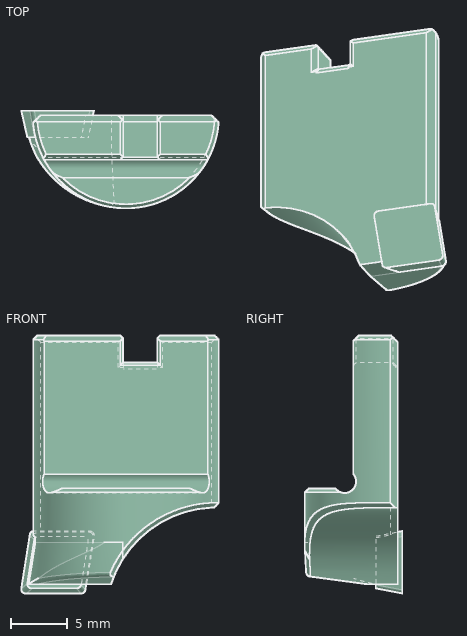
import cadquery as cq
import math


height = 22.8
shank_radius = 8.23
back_corner_chamfer = 0.68
top_back_chamfer = 0.6
top_front_chamfer = 0.5
top_side_chamfer = 0.39

tang_thickness = 3.95
shelf_z = 9.3
shelf_chamfer = 0.36
groove_radius = 1.0
groove_y = -4.7
groove_z = 9.9

notch_width = 3.0
notch_depth = 2.37
notch_x = 1.25
notch_chamfer = 0.25
notch_back_chamfer = 0.45

clearance_radius = 9.75
clearance_x = 7.98
clearance_z = -2.17
clearance_edge_chamfer = 0.43

head_top_z = 4.51
head_bottom_z = 0.82
head_right_x = -0.3
side_relief_angle = 9
head_front_y = -8.2
relief_radius = 9.12
bottom_flat_y = -2.74
bottom_relief_angle = 7.7
head_edge_fillet = 0.4

insert_left_x = -9.33
insert_width = 5.7
insert_height = 5.55
insert_back_y = 0.4
insert_thickness = 2.37
insert_clearance_angle = 11
insert_corner_fillet = 0.4
insert_front_y = insert_back_y - insert_thickness

margin = 2.28
pick_gap = 0.23
reach = shank_radius + margin


def box(x_range, y_range, z_range):
    """Axis-aligned block between the given limits."""
    (x0, x1), (y0, y1), (z0, z1) = x_range, y_range, z_range
    return cq.Workplane("XY").box(x1 - x0, y1 - y0, z1 - z0, centered=False).translate((x0, y0, z0))


def make_shank_blank():
    """Half-round bar with chamfered back corners and a chamfered top end."""
    half_disc = (
        cq.Workplane("XY").workplane(offset=clearance_z)
        .moveTo(-shank_radius, 0)
        .threePointArc((0, -shank_radius), (shank_radius, 0))
        .close()
        .extrude(height - clearance_z)
    )
    tang_space = box((-reach, reach), (-reach, -tang_thickness), (shelf_z, height + margin))
    blank = half_disc.cut(tang_space)
    shelf_bevel = (
        cq.Workplane("XZ")
        .moveTo(shank_radius - shelf_chamfer, shelf_z)
        .lineTo(shank_radius, shelf_z)
        .lineTo(shank_radius, shelf_z - shelf_chamfer)
        .close()
        .revolve(360, (0, 0, 0), (0, 1, 0))
        .intersect(box((-reach, reach), (-reach, groove_y), (0, height)))
    )
    blank = blank.cut(shelf_bevel)
    side_space = cq.Workplane("XY").workplane(offset=clearance_z)
    for side in (-1, 1):
        corner = (
            side_space.moveTo(side * (shank_radius - back_corner_chamfer), 0)
            .lineTo(side * (shank_radius + margin), -back_corner_chamfer - margin)
            .lineTo(side * (shank_radius + margin), 0)
            .close()
            .extrude(height - clearance_z)
        )
        blank = blank.cut(corner)
    return blank


def chamfer_tang_top(body):
    """Bevels of different widths on the back, front and round sides of the top end."""
    for face_y, outward, size in ((0, 1, top_back_chamfer), (-tang_thickness, -1, top_front_chamfer)):
        bevel = (
            cq.Workplane("YZ").workplane(offset=-reach)
            .moveTo(face_y - outward * size, height)
            .lineTo(face_y, height)
            .lineTo(face_y, height - size)
            .close()
            .extrude(2 * reach)
        )
        body = body.cut(bevel)
    side_envelope = (
        cq.Workplane("XZ")
        .moveTo(0, clearance_z)
        .lineTo(shank_radius, clearance_z)
        .lineTo(shank_radius, height - top_side_chamfer)
        .lineTo(0, height - top_side_chamfer + shank_radius)
        .close()
        .revolve(360, (0, 0, 0), (0, 1, 0))
    )
    return body.intersect(side_envelope)


def cut_groove(body):
    """Round relief groove along X at the root of the tang."""
    groove = (
        cq.Workplane("YZ").workplane(offset=-reach)
        .center(groove_y, groove_z).circle(groove_radius).extrude(2 * reach)
    )
    return body.cut(groove)


def cut_notch(body):
    """Rectangular notch with bevelled rims on the front and back of the tang and on its top."""
    half = notch_width / 2
    floor_z = height - notch_depth
    body = body.cut(
        box((notch_x - half, notch_x + half), (-tang_thickness, 0), (floor_z, height))
    )
    rims = ((0, -1, notch_back_chamfer), (-tang_thickness, 1, notch_chamfer))
    for face_y, inward, size in rims:
        rim = (
            cq.Workplane("XZ", origin=(notch_x, face_y, height))
            .rect(notch_width + 2 * size, 2 * (notch_depth + size))
            .workplane(offset=-inward * size)
            .rect(notch_width, 2 * notch_depth)
            .loft(ruled=True)
        )
        body = body.cut(rim)
    back_floor_bevel = (
        cq.Workplane("YZ").workplane(offset=notch_x - half)
        .moveTo(-top_back_chamfer, floor_z)
        .lineTo(0, floor_z)
        .lineTo(0, floor_z - top_back_chamfer)
        .close()
        .extrude(notch_width)
    )
    body = body.cut(back_floor_bevel)
    top_rim = (
        cq.Workplane("XZ")
        .moveTo(notch_x - half - notch_chamfer, height)
        .lineTo(notch_x - half, height - notch_chamfer)
        .lineTo(notch_x + half, height - notch_chamfer)
        .lineTo(notch_x + half + notch_chamfer, height)
        .close()
        .extrude(tang_thickness)
    )
    return body.cut(top_rim)


def make_head():
    """Cutting head: a leaning round flank, trimmed by a relief cylinder and a rising bottom face."""
    lean_height = head_top_z
    lean_shift = lean_height * math.tan(math.radians(side_relief_angle))
    top_circle = cq.Wire.makeCircle(
        shank_radius, cq.Vector(0, 0, head_top_z), cq.Vector(0, 0, 1)
    )
    flank = cq.Workplane(
        cq.Solid.extrudeLinear(top_circle, [], cq.Vector(-lean_shift, 0, -lean_height))
    )
    relief = (
        cq.Workplane("XY").center(0, head_front_y + relief_radius)
        .circle(relief_radius).extrude(head_top_z)
    )
    bottom_rise = (bottom_flat_y + reach) * math.tan(math.radians(bottom_relief_angle))
    side_profile = (
        cq.Workplane("YZ").workplane(offset=-reach)
        .moveTo(0, head_top_z)
        .lineTo(0, head_bottom_z)
        .lineTo(bottom_flat_y, head_bottom_z)
        .lineTo(-reach, head_bottom_z + bottom_rise)
        .lineTo(-reach, head_top_z)
        .close()
        .extrude(reach + head_right_x)
    )
    return side_profile.intersect(flank).intersect(relief)


def cut_chip_clearance(body):
    """Concave round cut along Y under the shank."""
    clearance = (
        cq.Workplane("XZ").center(clearance_x, clearance_z)
        .circle(clearance_radius).extrude(reach)
    )
    return body.cut(clearance)


def finish_head_edges(head):
    """Bevel along the chip clearance, then a round along the front of the bottom face."""
    rim_split_x = -shank_radius / 4
    rim_top_z = head_top_z / 2
    bottom_rim = cq.selectors.BoxSelector(
        (-shank_radius, -reach, head_bottom_z), (rim_split_x, bottom_flat_y, rim_top_z)
    )
    head_clearance_rim = cq.selectors.BoxSelector(
        (rim_split_x, -reach, head_bottom_z), (0, bottom_flat_y, head_top_z - pick_gap)
    )
    head = head.edges(head_clearance_rim).edges("%BSPLINE").chamfer(clearance_edge_chamfer)
    return head.edges(bottom_rim).edges("%ELLIPSE").fillet(head_edge_fillet)


def make_insert():
    """Leaning four-sided insert, widest at its back and tapering toward its front."""
    lean = insert_height * math.tan(math.radians(side_relief_angle))
    outline = (
        cq.Workplane("XZ", origin=(0, insert_back_y, 0))
        .polyline([
            (insert_left_x, 0),
            (insert_left_x + insert_width, 0),
            (insert_left_x + insert_width + lean, insert_height),
            (insert_left_x + lean, insert_height),
        ])
        .close()
        .extrude(insert_thickness, taper=insert_clearance_angle)
    )
    return outline.edges("not #Y").fillet(insert_corner_fillet)


def make_holder(insert):
    """Shank and head in one piece, with a seat that fits the insert."""
    shank = cut_groove(chamfer_tang_top(make_shank_blank()))
    shank = cut_notch(shank)
    shank = shank.cut(box((-reach, head_right_x), (-reach, margin), (clearance_z, head_top_z)))
    shank = cut_chip_clearance(shank)
    clearance_rim = cq.selectors.BoxSelector(
        (head_right_x + pick_gap, -reach, 0),
        (reach, -back_corner_chamfer - pick_gap, shelf_z - shelf_chamfer - pick_gap),
    )
    shank = shank.edges(clearance_rim).edges("not(%LINE or %CIRCLE)").chamfer(clearance_edge_chamfer)
    head = finish_head_edges(cut_chip_clearance(make_head()))
    seat_side = box((-reach, insert_left_x + insert_width / 2), (insert_front_y, margin), (0, head_top_z))
    return shank.union(head).cut(seat_side).cut(insert)


insert = make_insert()
holder = make_holder(insert)
result = cq.Compound.makeCompound([holder.val(), insert.val()])